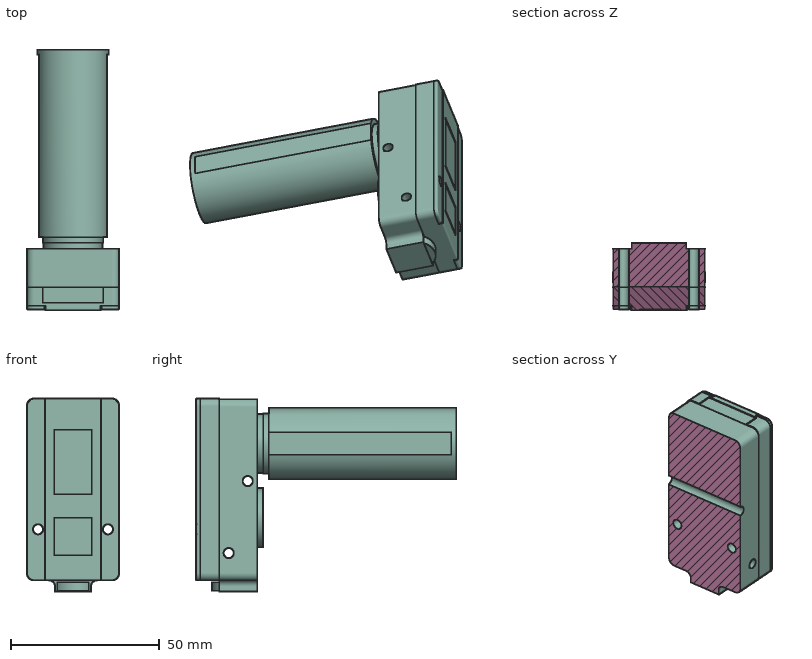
import cadquery as cq


overall_length = 87.55

case_width = 31.0
case_height = 60.85
corner_radius = 2.45
housing_depth = 12.9

cover_rise = 0.3
cover_height = case_height + cover_rise
rib_front = 20.75
rib_rise = 0.3
plate_front = rib_front - rib_rise
plate_thickness = 1.3
plate_back = plate_front - plate_thickness
plate_fillet = 0.5
rib_fillet = 0.6
rib_width = 18.6
plate_gap = 0.3
plate_inner_x = rib_width / 2 + plate_gap

window_width = 12.7
window_depth = 0.3
window_spans = [(8.5, 21.0), (28.9, 50.6)]
label_width = 20.3
label_length = 5.3

hole_diameter = 3.3
front_hole_x = 11.7
front_hole_z = 17.2
side_holes = [(3.2, 33.4), (9.6, 9.2)]

boss_diameter = 20.0
boss_length = 1.9
handle_z = 46.0
boss_spacing = 24.9

tab_width = 12.2
tab_drop = 3.8
tab_fillet = 1.9
lens_width = 10.7
lens_bulge = 2.4
lens_height = 3.0
lens_margin = 0.3
lens_bottom = lens_margin - tab_drop

handle_diameter = 24.1
handle_start = 3.85
handle_end = overall_length - rib_front
flat_spacing = 22.85
rim_length = 1.7
collar_diameter = 20.3


def slab(width, z_low, z_high, front, back):
    """Block centred on X between two heights and two distances in front of the back face."""
    return (
        cq.Workplane("XY")
        .box(width, front - back, z_high - z_low, centered=(True, False, False))
        .translate((0, -front, z_low))
    )


def rod(diameter, z, y_start, y_end):
    """Cylinder along Y on the middle plane of the part."""
    return (
        cq.Workplane("XZ", origin=(0, y_start, z))
        .circle(diameter / 2)
        .extrude(y_start - y_end)
    )


def front_holes():
    """The two screw holes through the whole case along Y."""
    return (
        cq.Workplane("XZ")
        .pushPoints([(-front_hole_x, front_hole_z), (front_hole_x, front_hole_z)])
        .circle(hole_diameter / 2)
        .extrude(rib_front)
    )


def build_housing():
    """Rounded case with a tab below, two round bosses behind and its cross holes."""
    body = slab(case_width, 0, case_height, housing_depth, 0).edges("|Y").fillet(corner_radius)

    half_tab = tab_width / 2
    tab = (
        cq.Workplane("XZ")
        .moveTo(-half_tab, -tab_drop)
        .lineTo(half_tab, -tab_drop)
        .lineTo(half_tab, -tab_fillet)
        .radiusArc((half_tab + tab_fillet, 0), tab_fillet)
        .lineTo(-half_tab - tab_fillet, 0)
        .radiusArc((-half_tab, -tab_fillet), tab_fillet)
        .close()
        .extrude(housing_depth)
    )
    body = body.union(tab)

    for boss_z in (handle_z, handle_z - boss_spacing):
        body = body.union(rod(boss_diameter, boss_z, 0, boss_length))

    side_drill = (
        cq.Workplane("YZ")
        .pushPoints([(-distance, z) for distance, z in side_holes])
        .circle(hole_diameter / 2)
        .extrude(case_width / 2, both=True)
    )
    return body.cut(front_holes()).cut(side_drill)


def rounded_block(front, fillet):
    """Block in front of the housing with its front edge rounded."""
    block = slab(case_width, 0, cover_height, front, housing_depth)
    return block.edges("|Y").fillet(corner_radius).faces("<Y").edges().fillet(fillet)


def plate_space(inner_x, side):
    """Space at the front of the case, outward of inner_x on one side."""
    width = case_width / 2 - inner_x
    centre_x = side * (inner_x + width / 2)
    return slab(width, 0, cover_height, rib_front, plate_back).translate((centre_x, 0, 0))


def build_cover():
    """Front part of the case: a raised middle rib between the two seats of the side plates."""
    cover = rounded_block(rib_front, rib_fillet)
    for side in (-1, 1):
        cover = cover.cut(plate_space(rib_width / 2, side))

    for z_low, z_high in window_spans:
        cover = cover.cut(slab(window_width, z_low, z_high, rib_front, rib_front - window_depth))

    label_front = housing_depth + label_length
    label = slab(label_width, case_height, cover_height, label_front, housing_depth)
    return cover.cut(label).cut(front_holes())


def build_side_plate(side):
    """Strip beside the rib, set slightly back from it, with the rounded corners of the cover."""
    plate = rounded_block(plate_front, plate_fillet).intersect(plate_space(plate_inner_x, side))
    return plate.cut(front_holes())


def build_lens():
    """Circular segment standing on the front face of the tab."""
    return (
        cq.Workplane("XY", origin=(0, 0, lens_bottom))
        .moveTo(-lens_width / 2, -housing_depth)
        .threePointArc((0, -housing_depth - lens_bulge), (lens_width / 2, -housing_depth))
        .close()
        .extrude(lens_height)
    )


def build_handle():
    """Round grip with a flat on each side, a full-round rim at its end and a collar."""
    grip = rod(handle_diameter, handle_z, handle_start, handle_end)
    flat_depth = (handle_diameter - flat_spacing) / 2
    flat_length = handle_end - rim_length - handle_start
    for side in (-1, 1):
        flat = (
            cq.Workplane("XY")
            .box(flat_depth, flat_length, handle_diameter, centered=(True, False, True))
            .translate((side * (flat_spacing + flat_depth) / 2, handle_start, handle_z))
        )
        grip = grip.cut(flat)
    return grip.union(rod(collar_diameter, handle_z, boss_length, handle_start))


housing = build_housing()
cover = build_cover()
side_plates = [build_side_plate(side) for side in (-1, 1)]
lens = build_lens()
handle = build_handle()

result = cq.Compound.makeCompound(
    [housing.val(), cover.val(), *[plate.val() for plate in side_plates], lens.val(), handle.val()]
)